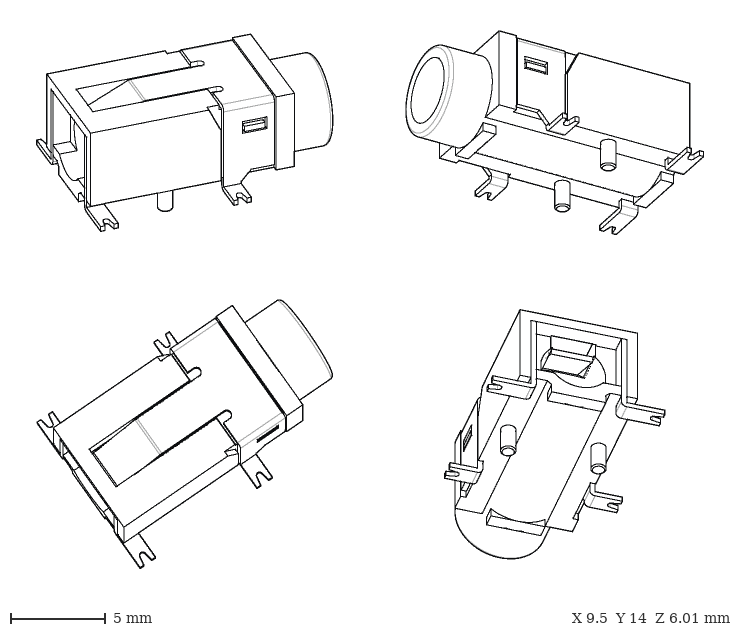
import cadquery as cq
import math


total_length = 14.0
housing_width = 6.5
housing_height = 4.5
sheet = 0.3

barrel_length = 2.5
barrel_radius = 2.5
barrel_fillet = 0.18
bore_radius = 1.79
bore_z = 1.8
flange_length = 1.04
flange_gap = 0.08

shield_front_y = 7.5
shield_gap = 0.14
shield_skirt_z = 0.35
shield_skirt_y = 9.06
shield_skirt_drop = 0.3

tongue_half_width = 1.15
tongue_bend_y = 3.9
tongue_tip_y = 1.12
tongue_angle = 25.0
relief_width = 0.5
relief_end_y = 8.15

slot_half_width = 1.23
slot_depth = 1.3
slot_end_y = 0.9

notch_length = 0.69
notch_height = 1.4

window_y = (8.57, 9.94)
window_z = (2.66, 3.37)
lug_y = (8.67, 9.84)
lug_z = (2.75, 3.07)

pocket_half_width = 2.65
pocket_roof = 0.59
pocket_floor_z = 0.63

pad_half_width = 1.5
pad_length = 0.77

peg_radius = 0.4
peg_drop = 1.51
peg_x = 2.49
peg_y = 4.5
peg_chamfer = 0.08

feet_span = 9.5
foot_width = 1.0
foot_top_z = -0.4
foot_mouth = 0.5
foot_notch_radius = 0.17
foot_notch_depth = 0.65

half_width = housing_width / 2
core_half_width = half_width - sheet
core_height = housing_height - sheet
flange_back_y = total_length - barrel_length
flange_front_y = flange_back_y - flange_length
shield_back_y = flange_front_y - flange_gap
block_back_y = shield_front_y - shield_gap
foot_bottom_z = foot_top_z - sheet
barrel_bottom_z = bore_z - barrel_radius


def box(x, y, z):
    """Box between the (low, high) limits on each axis."""
    size = [high - low for low, high in (x, y, z)]
    return cq.Workplane("XY").box(*size, centered=False).translate((x[0], y[0], z[0]))


def mirrored(body):
    """The given shape together with its mirror image across X = 0."""
    return body.union(body.mirror("YZ"))


def cylinder_along_y(radius, y_start, y_end):
    """Cylinder on the axis of the bore."""
    plane = cq.Workplane("XZ", origin=(0, y_start, bore_z))
    return plane.circle(radius).extrude(y_start - y_end)


def foot_notch(y_middle):
    """Tapered notch with a round end, cut into the tip of the foot on the +X side."""
    tip_x = feet_span / 2
    round_x = tip_x - foot_notch_depth + foot_notch_radius
    half_mouth = foot_mouth / 2
    return (
        cq.Workplane("XY", origin=(0, y_middle, foot_bottom_z))
        .moveTo(tip_x, half_mouth)
        .lineTo(round_x, foot_notch_radius)
        .threePointArc((round_x - foot_notch_radius, 0), (round_x, -foot_notch_radius))
        .lineTo(tip_x, -half_mouth)
        .close()
        .extrude(sheet)
    )


def bent_leg(inner_x, top_z, y_start):
    """Upright strip on the +X side whose lower end bends outwards into a notched foot."""
    outer_x = inner_x + sheet
    tip_x = feet_span / 2
    corner = sheet * (1 - math.sqrt(0.5))
    leg = (
        cq.Workplane("XZ", origin=(0, y_start, 0))
        .moveTo(inner_x, top_z)
        .lineTo(inner_x, foot_top_z)
        .threePointArc((inner_x + corner, foot_bottom_z + corner), (outer_x, foot_bottom_z))
        .lineTo(tip_x, foot_bottom_z)
        .lineTo(tip_x, foot_top_z)
        .lineTo(outer_x, foot_top_z)
        .lineTo(outer_x, top_z)
        .close()
        .extrude(-foot_width)
    )
    return leg.cut(foot_notch(y_start + foot_width / 2))


def housing_walls():
    """Front block, narrowed core under the shield, flange, and the barrel running the full length."""
    block = box((-half_width, half_width), (0, block_back_y), (0, housing_height))
    core = box((-core_half_width, core_half_width), (0, flange_back_y), (0, core_height))
    flange = box((-half_width, half_width), (flange_front_y, flange_back_y), (0, housing_height))
    keel = cylinder_along_y(barrel_radius, 0, flange_back_y)
    barrel = cylinder_along_y(barrel_radius, flange_back_y, total_length)
    barrel = barrel.faces(">Y").fillet(barrel_fillet)
    return block.union(core).union(flange).union(keel).union(barrel)


def standing_pads():
    """Flat-bottomed pads under the open end and under the flange."""
    x = (-pad_half_width, pad_half_width)
    z = (barrel_bottom_z, 0)
    front = box(x, (0, pad_length), z)
    return front.union(box(x, (flange_back_y - pad_length, flange_back_y), z))


def pegs():
    """Two locating pegs below the side walls."""
    peg = cq.Workplane("XY", origin=(peg_x, peg_y, -peg_drop)).circle(peg_radius).extrude(peg_drop)
    return mirrored(peg.faces("<Z").chamfer(peg_chamfer))


def tongue_slot():
    """Slot in the roof: shallow under the flat tongue, then sloping at 45 degrees to its floor."""
    floor_z = housing_height - slot_depth
    slope_end_y = tongue_bend_y - (core_height - floor_z)
    return (
        cq.Workplane("YZ")
        .polyline(
            [
                (block_back_y, housing_height),
                (block_back_y, core_height),
                (tongue_bend_y, core_height),
                (slope_end_y, floor_z),
                (slot_end_y, floor_z),
                (slot_end_y, housing_height),
            ]
        )
        .close()
        .extrude(slot_half_width, both=True)
    )


def front_pocket():
    """Recess in the open end, with side slots that let the terminals run down to their feet."""
    y = (0, foot_width)
    z_top = housing_height - pocket_roof
    pocket = box((-pocket_half_width, pocket_half_width), y, (pocket_floor_z, z_top))
    leg_slot = box((pocket_half_width - sheet, pocket_half_width), y, (0, z_top))
    return pocket.union(mirrored(leg_slot))


def corner_notches():
    """Triangular notches in the upper corners of the block beside the shield."""
    notch = (
        cq.Workplane("YZ", origin=(core_half_width, 0, 0))
        .moveTo(block_back_y, housing_height)
        .lineTo(block_back_y - notch_length, housing_height)
        .lineTo(block_back_y, housing_height - notch_height)
        .close()
        .extrude(sheet)
    )
    return mirrored(notch)


def shield_wrap():
    """Sheet over the roof and sides, rounded along its upper edges."""
    outer = box((-half_width, half_width), (shield_front_y, shield_back_y), (shield_skirt_z, housing_height))
    outer = outer.edges("|Y and >Z").fillet(sheet)
    inside = box((-core_half_width, core_half_width), (shield_front_y, shield_back_y), (0, core_height))
    return outer.cut(inside)


def shield_sides():
    """Tapered lower parts of the sides and the feet they end in."""
    foot_back_y = shield_front_y + foot_width
    taper = (
        cq.Workplane("YZ", origin=(core_half_width, 0, 0))
        .polyline(
            [
                (shield_front_y, shield_skirt_z),
                (shield_skirt_y, shield_skirt_z),
                (foot_back_y, -shield_skirt_drop),
                (shield_front_y, -shield_skirt_drop),
            ]
        )
        .close()
        .extrude(sheet)
    )
    leg = bent_leg(core_half_width, shield_skirt_z, shield_front_y)
    return mirrored(taper.union(leg))


def tongue_reliefs():
    """Round-ended reliefs in the sheet on both sides of the tongue."""
    radius = relief_width / 2
    arc_y = relief_end_y - radius
    inner_x = tongue_half_width
    outer_x = tongue_half_width + relief_width
    relief = (
        cq.Workplane("XY", origin=(0, 0, core_height))
        .moveTo(inner_x, shield_front_y)
        .lineTo(inner_x, arc_y)
        .threePointArc((inner_x + radius, relief_end_y), (outer_x, arc_y))
        .lineTo(outer_x, shield_front_y)
        .close()
        .extrude(sheet)
    )
    return mirrored(relief)


def tongue():
    """Spring tongue: flat along the slot, then bent down into the bore."""
    angle = math.radians(tongue_angle)
    half_angle = angle / 2

    def on_bend(turn):
        return (tongue_bend_y - sheet * math.sin(turn), core_height + sheet * math.cos(turn))

    bend_end = on_bend(angle)
    tip_top = (tongue_tip_y, bend_end[1] - (bend_end[0] - tongue_tip_y) * math.tan(angle))
    tip_bottom = (tip_top[0] + sheet * math.sin(angle), tip_top[1] - sheet * math.cos(angle))
    return (
        cq.Workplane("YZ")
        .moveTo(shield_front_y, core_height)
        .lineTo(shield_front_y, housing_height)
        .lineTo(tongue_bend_y, housing_height)
        .threePointArc(on_bend(half_angle), bend_end)
        .lineTo(*tip_top)
        .lineTo(*tip_bottom)
        .lineTo(tongue_bend_y, core_height)
        .close()
        .extrude(tongue_half_width, both=True)
    )


def latch_windows():
    """Windows through the sides of the shield."""
    return mirrored(box((core_half_width, half_width), window_y, window_z))


def latch_lugs():
    """Lugs of the core that stand in the latch windows, flush with the outside of the shield."""
    return mirrored(box((core_half_width, half_width), lug_y, lug_z))


def make_shielded_housing():
    """Housing and the shield that is one piece with it."""
    housing = housing_walls().union(standing_pads())
    housing = housing.cut(cylinder_along_y(bore_radius, 0, total_length))
    housing = housing.cut(tongue_slot()).cut(front_pocket()).cut(corner_notches())
    shield = shield_wrap().cut(tongue_reliefs()).union(shield_sides()).cut(latch_windows())
    return housing.union(pegs()).union(shield).union(tongue()).union(latch_lugs())


def make_terminal():
    """Terminal on the +X side, standing in the front pocket."""
    return bent_leg(pocket_half_width - sheet, housing_height - pocket_roof, 0)


shielded_housing = make_shielded_housing()

terminals = []
for side in (1, -1):
    terminal = make_terminal()
    if side < 0:
        terminal = terminal.mirror("YZ")
    terminals.append(terminal.val())

result = cq.Compound.makeCompound([shielded_housing.val(), *terminals])